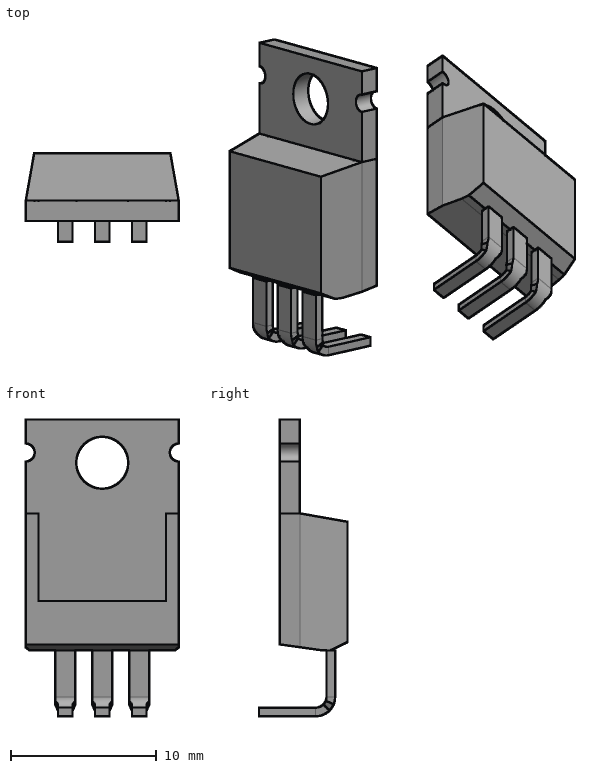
import cadquery as cq
import math


PACKAGE_WIDTH = 10.52
PACKAGE_TOP = 20.39
OVERALL_DEPTH = 6.09
PACKAGE_DEPTH = 4.67

TAB_THICKNESS = 1.40
TAB_INSET_WIDTH = 8.76
TAB_BOTTOM = 7.93
HOLE_DIAMETER = 3.55
HOLE_HEIGHT = 17.42
NOTCH_RADIUS = 0.61
NOTCH_HEIGHT = 18.12

MOULD_TOP = 13.95
MOULD_BOTTOM = 4.53
DRAFT_ANGLE = 10.0
FRONT_BOTTOM = 4.94
UNDERSIDE_SLOPE = 8.0
REAR_CHAMFER_SLOPE = 26.0
REAR_BOTTOM = 5.10

LEAD_COUNT = 3
LEAD_PITCH = 2.54
LEAD_THICKNESS = 0.61
LEAD_WIDTH = 1.38
FOOT_WIDTH = 1.00
LEAD_CENTRE_Y = 3.52
BEND_OUTER_RADIUS = 1.35
TAPER_START = 22.5
TAPER_END = 45.0
BEND_ANGLE = 90.0
ENVELOPE_MARGIN = 0.3

BEND_INNER_RADIUS = BEND_OUTER_RADIUS - LEAD_THICKNESS
LEAD_REAR_Y = LEAD_CENTRE_Y + LEAD_THICKNESS / 2
BEND_CENTRE_Y = LEAD_REAR_Y - BEND_OUTER_RADIUS
BEND_CENTRE_Z = BEND_OUTER_RADIUS
FOOT_TIP_Y = PACKAGE_DEPTH - OVERALL_DEPTH


def prism(points, width):
    """Extrude a (Y, Z) outline symmetrically about the X = 0 plane."""
    return cq.Workplane("YZ").polyline(points).close().extrude(width / 2, both=True)


def box(width, y_start, y_end, z_start, z_end):
    """Block centred on X = 0 between the given Y and Z limits."""
    points = [(y_start, z_start), (y_end, z_start), (y_end, z_end), (y_start, z_end)]
    return prism(points, width)


def make_tab():
    """Flat plate, wide above the mould and narrow where it is set into it."""
    plate = box(PACKAGE_WIDTH, 0, TAB_THICKNESS, MOULD_TOP, PACKAGE_TOP)
    plate = plate.union(box(TAB_INSET_WIDTH, 0, TAB_THICKNESS, TAB_BOTTOM, MOULD_TOP))

    hole = (
        cq.Workplane("XZ")
        .center(0, HOLE_HEIGHT)
        .circle(HOLE_DIAMETER / 2)
        .extrude(-TAB_THICKNESS)
    )
    notches = (
        cq.Workplane("XZ")
        .pushPoints([(side * PACKAGE_WIDTH / 2, NOTCH_HEIGHT) for side in (-1, 1)])
        .circle(NOTCH_RADIUS)
        .extrude(-TAB_THICKNESS)
    )
    return plate.cut(hole).cut(notches)


def make_mould():
    """Side profile trimmed by drafted flanks, with a pocket for the tab."""
    draft_run = (PACKAGE_DEPTH - TAB_THICKNESS) * math.tan(math.radians(DRAFT_ANGLE))
    front_slope = math.tan(math.radians(UNDERSIDE_SLOPE))
    rear_slope = math.tan(math.radians(REAR_CHAMFER_SLOPE))
    underside_front_y = (FRONT_BOTTOM - MOULD_BOTTOM) / front_slope
    underside_rear_y = PACKAGE_DEPTH - (REAR_BOTTOM - MOULD_BOTTOM) / rear_slope
    side_profile = [
        (0, FRONT_BOTTOM),
        (underside_front_y, MOULD_BOTTOM),
        (underside_rear_y, MOULD_BOTTOM),
        (PACKAGE_DEPTH, REAR_BOTTOM),
        (PACKAGE_DEPTH, MOULD_TOP - draft_run),
        (TAB_THICKNESS, MOULD_TOP),
        (0, MOULD_TOP),
    ]
    half_width = PACKAGE_WIDTH / 2
    plan_profile = [
        (-half_width, 0),
        (half_width, 0),
        (half_width, TAB_THICKNESS),
        (half_width - draft_run, PACKAGE_DEPTH),
        (-half_width + draft_run, PACKAGE_DEPTH),
        (-half_width, TAB_THICKNESS),
    ]
    plan = cq.Workplane("XY").polyline(plan_profile).close().extrude(PACKAGE_TOP)
    pocket = box(TAB_INSET_WIDTH, 0, TAB_THICKNESS, TAB_BOTTOM, MOULD_TOP)
    return prism(side_profile, PACKAGE_WIDTH).intersect(plan).cut(pocket)


def bend_point(radius, angle):
    """(Y, Z) point on the bend; 0 degrees is the vertical leg and 90 degrees the foot."""
    turn = math.radians(angle)
    return (BEND_CENTRE_Y + radius * math.cos(turn), BEND_CENTRE_Z - radius * math.sin(turn))


def make_bend():
    """Full-width quarter bend, trimmed on both sides where it narrows."""
    angles = (0, BEND_ANGLE / 2, BEND_ANGLE)
    outer_start, outer_middle, outer_end = [bend_point(BEND_OUTER_RADIUS, angle) for angle in angles]
    inner_start, inner_middle, inner_end = [bend_point(BEND_INNER_RADIUS, angle) for angle in angles]
    full_bend = (
        cq.Workplane("YZ")
        .moveTo(*outer_start)
        .threePointArc(outer_middle, outer_end)
        .lineTo(*inner_end)
        .threePointArc(inner_middle, inner_start)
        .close()
        .extrude(LEAD_WIDTH / 2, both=True)
    )
    sections = [
        envelope_section(LEAD_WIDTH, 0),
        envelope_section(LEAD_WIDTH, TAPER_START),
        envelope_section(FOOT_WIDTH, TAPER_END),
        envelope_section(FOOT_WIDTH, BEND_ANGLE),
    ]
    envelope = cq.Solid.makeLoft(sections, True)
    return full_bend.intersect(cq.Workplane(envelope))


def envelope_section(width, angle):
    """Rectangle across the bend at one angle, reaching past the inner and outer faces."""
    outer_y, outer_z = bend_point(BEND_OUTER_RADIUS + ENVELOPE_MARGIN, angle)
    inner_y, inner_z = bend_point(BEND_INNER_RADIUS - ENVELOPE_MARGIN, angle)
    corners = [
        cq.Vector(-width / 2, outer_y, outer_z),
        cq.Vector(width / 2, outer_y, outer_z),
        cq.Vector(width / 2, inner_y, inner_z),
        cq.Vector(-width / 2, inner_y, inner_z),
    ]
    return cq.Wire.makePolygon(corners, close=True)


def make_lead(x):
    """Vertical leg, bend narrowing part-way round, and foot running forward."""
    leg = box(LEAD_WIDTH, LEAD_REAR_Y - LEAD_THICKNESS, LEAD_REAR_Y, BEND_CENTRE_Z, MOULD_BOTTOM)
    foot = box(FOOT_WIDTH, FOOT_TIP_Y, BEND_CENTRE_Y, 0, LEAD_THICKNESS)
    lead = make_bend().union(leg, clean=False).union(foot, clean=False)
    return lead.translate((x, 0, 0))


tab = make_tab()
mould = make_mould()
leads = [make_lead((index - (LEAD_COUNT - 1) / 2) * LEAD_PITCH) for index in range(LEAD_COUNT)]

result = cq.Compound.makeCompound(
    [tab.solids().val(), mould.solids().val(), *[lead.solids().val() for lead in leads]]
)